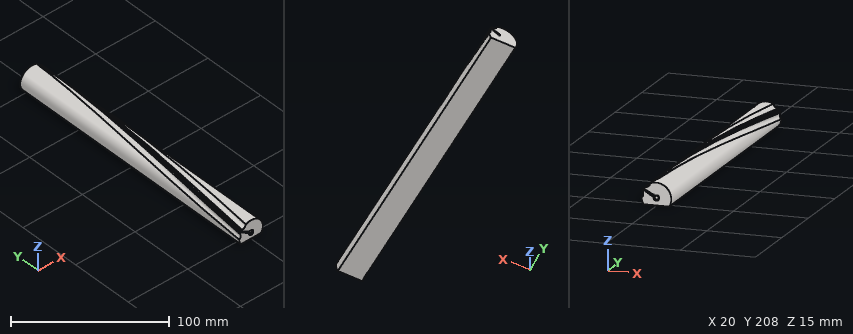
import cadquery as cq
import math

length = 208.0
body_radius = 10.0
flat_drop = body_radius / 2

hole_diameter = 2.5
hole_depth = 10.5
tip_angle = 118.0
sink_diameter = 3.7
sink_angle = 90.0

twist = 120.0
slot_angle = 30.5
slot_floor = 2.7
slot_floor_width = 1.2
slot_mouth_width = 0.8
slot_reach = 10.8
flute_offset = 21.0
flute_radius = 3.1
flute_depth = 1.0

front = cq.Plane(origin=(0, -length / 2, 0), xDir=(-1, 0, 0), normal=(0, 1, 0))
slot_plane = front.rotated((0, 0, slot_angle))


def make_body():
    """Bar with its round top and flat underside."""
    half_flat = math.sqrt(body_radius**2 - flat_drop**2)
    return (
        cq.Workplane(front)
        .moveTo(half_flat, -flat_drop)
        .threePointArc((0, body_radius), (-half_flat, -flat_drop))
        .close()
        .extrude(length)
    )


def make_hole():
    """Countersunk blind hole with a conical tip, revolved about the bar axis."""
    hole_radius = hole_diameter / 2
    sink_radius = sink_diameter / 2
    sink_depth = (sink_radius - hole_radius) / math.tan(math.radians(sink_angle / 2))
    tip_depth = hole_radius / math.tan(math.radians(tip_angle / 2))
    half_section = [
        (0, 0),
        (sink_radius, 0),
        (hole_radius, sink_depth),
        (hole_radius, hole_depth),
        (0, hole_depth + tip_depth),
    ]
    return (
        cq.Workplane("XY", origin=(0, -length / 2, 0))
        .polyline(half_section)
        .close()
        .revolve(360, (0, 0), (0, 1))
    )


def make_slot():
    """Twisted slot, narrowing from its floor to its mouth in the round surface."""
    half_floor = slot_floor_width / 2
    half_mouth = slot_mouth_width / 2
    section = [
        (slot_floor, -half_floor),
        (slot_reach, -half_mouth),
        (slot_reach, half_mouth),
        (slot_floor, half_floor),
    ]
    return cq.Workplane(slot_plane).polyline(section).close().twistExtrude(length, twist)


def make_flute(side):
    """Twisted round-bottomed flute beside the slot; side is +1 above it, -1 below it."""
    center_distance = body_radius - flute_depth + flute_radius
    angle = math.radians(side * flute_offset)
    return (
        cq.Workplane(slot_plane)
        .moveTo(center_distance * math.cos(angle), center_distance * math.sin(angle))
        .circle(flute_radius)
        .twistExtrude(length, twist)
    )


result = make_body().cut(make_hole()).cut(make_slot())
for side in (1, -1):
    result = result.cut(make_flute(side))